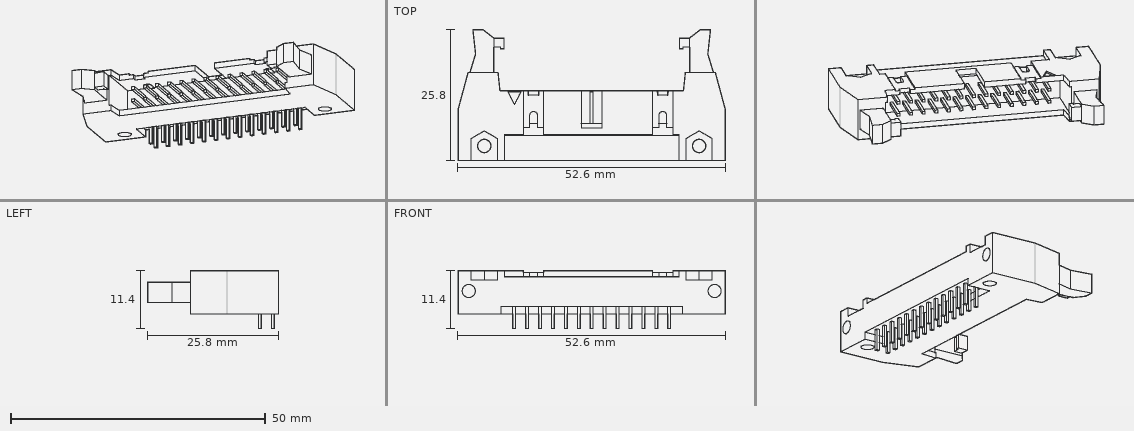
import cadquery as cq
import math


length = 52.6
height = 8.5
wall = 1.15
socket_front = 13.8
tower_front = 17.35
side_length = 10.15
tower_outer_tip = 24.35
tower_inner_tip = 18.4
tower_inner_root = 18.05

socket_back = 7.35
socket_half_width = 18.8
contact_count = 13
contact_row_length = 30.5
pitch = contact_row_length / (contact_count - 1)
row_offset = pitch / 2
contact_size = 0.6
contact_tip = 13.5
tail_length = 2.9
rear_tail_y = 1.15
tail_rows = (rear_tail_y, rear_tail_y + pitch)

rear_step_width = 34.3
rear_step_depth = 5.0
groove_width = 0.15
groove_drop = 0.1
tail_recess_width = 35.65
tail_recess_height = 1.45
tail_recess_depth = 5.15

keyway_width = 4.05
keyway_back = 6.4
channel_centres = (-4.5 * pitch, 5.5 * pitch)
channel_width = 4.0
channel_depth = 0.3
channel_pocket_front = 6.6
notch_width = 2.1
notch_depth = 0.9
slot_width = 1.5
slot_front = 9.7

hole_diameter = 2.6
mount_x = 21.15
mount_y = 2.9
nut_width = 5.15
nut_shoulder = 4.35
nut_depth = 1.8
nut_point_angle = 30
rear_hole_x = 24.2
rear_hole_z = 4.5
rear_hole_depth = 5.25

mark_x = -15.2
mark_back = 11.05
mark_front = 13.5
mark_width = 2.5
mark_depth = 0.3

latch_height = 4.0
latch_tip = 25.8
latch_inner = 19.25
hook_inner = 17.25
hook_front = 24.15
hook_back = 22.35
hook_height = 2.95
barb_back = 22.0
barb_width = 0.75
latch_outline = [
    (latch_inner, tower_front),
    (latch_inner, hook_front),
    (21.35, latch_tip),
    (23.4, latch_tip),
    (22.9, 21.0),
    (24.0, tower_front),
]


def block(x_range, y_range, z_range):
    """Box between the given limits on each axis."""
    size = [high - low for low, high in (x_range, y_range, z_range)]
    corner = (x_range[0], y_range[0], z_range[0])
    return cq.Workplane("XY").box(*size, centered=False).translate(corner)


def span(centre, width):
    return (centre - width / 2, centre + width / 2)


def prism(points, z_range):
    """Closed outline in XY raised between two heights."""
    bottom, top = z_range
    return cq.Workplane("XY").workplane(offset=bottom).polyline(points).close().extrude(top - bottom)


def both_sides(right_half):
    return right_half.union(right_half.mirror("YZ"))


def make_housing():
    right_outline = [
        (length / 2, 0),
        (length / 2, side_length),
        (tower_outer_tip, tower_front),
        (tower_inner_tip, tower_front),
        (tower_inner_root, socket_front),
    ]
    left_outline = [(-x, y) for x, y in reversed(right_outline)]
    return prism(right_outline + left_outline, (0, height))


def make_socket():
    """Cavity open toward +Y that also undercuts the inner sides of the towers."""
    return block(span(0, 2 * socket_half_width), (socket_back, tower_front), (wall, height - wall))


def make_rear_recesses():
    step_floor = height - wall
    groove_front = rear_step_depth + groove_width
    step = block(span(0, rear_step_width), (0, groove_front), (step_floor, height))
    groove = block(
        span(0, rear_step_width), (rear_step_depth, groove_front), (step_floor - groove_drop, height)
    )
    tail_recess = block(span(0, tail_recess_width), (0, tail_recess_depth), (0, tail_recess_height))
    return step.union(groove).union(tail_recess)


def make_keyway():
    return block(span(0, keyway_width), (keyway_back, socket_front), (height - wall, height))


def make_channel(centre):
    """Shallow channel with an edge notch, a round-ended slot and a deep rear pocket."""
    pocket_floor = height - wall - groove_drop
    full_depth = (pocket_floor, height)
    channel_x = span(centre, channel_width)
    channel = block(channel_x, (rear_step_depth, socket_front), (height - channel_depth, height))
    pocket = block(channel_x, (rear_step_depth, channel_pocket_front), full_depth)
    notch = block(span(centre, notch_width), (socket_front - notch_depth, socket_front), full_depth)
    round_centre = slot_front - slot_width / 2
    slot = block(span(centre, slot_width), (channel_pocket_front, round_centre), full_depth)
    slot_end = (
        cq.Workplane("XY")
        .workplane(offset=pocket_floor)
        .center(centre, round_centre)
        .circle(slot_width / 2)
        .extrude(height - pocket_floor)
    )
    return channel.union(pocket).union(notch).union(slot).union(slot_end)


def make_mounts():
    """Vertical screw holes with pointed nut pockets, and blind holes in the rear face."""
    half = nut_width / 2
    apex = nut_shoulder + half * math.tan(math.radians(nut_point_angle))
    nut_outline = [
        (mount_x - half, 0),
        (mount_x + half, 0),
        (mount_x + half, nut_shoulder),
        (mount_x, apex),
        (mount_x - half, nut_shoulder),
    ]
    nut_pocket = prism(nut_outline, (height - nut_depth, height))
    screw_hole = cq.Workplane("XY").center(mount_x, mount_y).circle(hole_diameter / 2).extrude(height)
    rear_hole = (
        cq.Workplane("XZ")
        .center(rear_hole_x, rear_hole_z)
        .circle(hole_diameter / 2)
        .extrude(-rear_hole_depth)
    )
    return both_sides(nut_pocket.union(screw_hole).union(rear_hole))


def make_pin_one_mark():
    outline = [
        (mark_x - mark_width / 2, mark_front),
        (mark_x + mark_width / 2, mark_front),
        (mark_x, mark_back),
    ]
    return prism(outline, (height - mark_depth, height))


def make_latches():
    middle = height / 2
    hook_z = span(middle, hook_height)
    arm = prism(latch_outline, span(middle, latch_height))
    hook = block((hook_inner, latch_inner), (hook_back, hook_front), hook_z)
    barb = block((hook_inner, hook_inner + barb_width), (barb_back, hook_front), hook_z)
    return both_sides(arm.union(hook).union(barb))


housing = make_housing().cut(make_socket()).cut(make_rear_recesses()).cut(make_keyway())
for channel_centre in channel_centres:
    housing = housing.cut(make_channel(channel_centre))
housing = housing.cut(make_mounts()).cut(make_pin_one_mark())

result = housing.union(make_latches())

tail_z = (-tail_length, tail_recess_height)
for index in range(contact_count):
    contact_x = span(index * pitch - contact_row_length / 2, contact_size)
    for row_z in (height / 2 - row_offset, height / 2 + row_offset):
        result = result.union(block(contact_x, (socket_back, contact_tip), span(row_z, contact_size)))
    for tail_y in tail_rows:
        result = result.union(block(contact_x, span(tail_y, contact_size), tail_z))